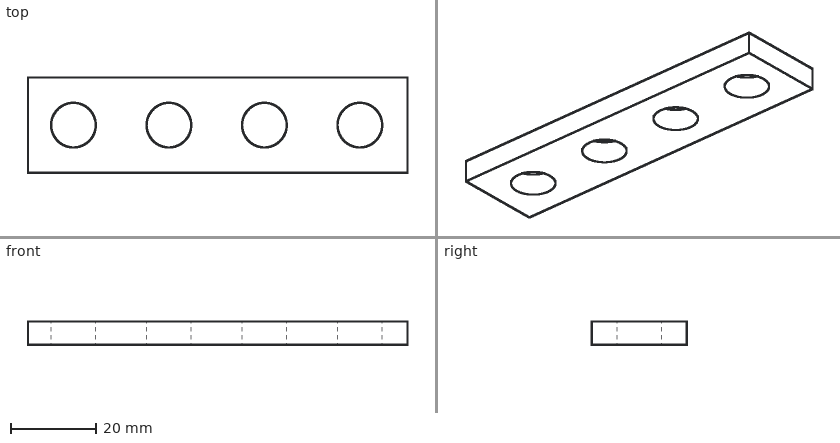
import cadquery as cq

length = 88.9
width = 22.35
thickness = 5.5

hole_diameter = 10.41
hole_count = 4
hole_pitch = width
first_hole_from_end = 10.67

first_hole_x = -length / 2 + first_hole_from_end
hole_centers = [(first_hole_x + i * hole_pitch, 0) for i in range(hole_count)]

plate = cq.Workplane("XY").box(length, width, thickness)
result = plate.faces(">Z").workplane().pushPoints(hole_centers).hole(hole_diameter)